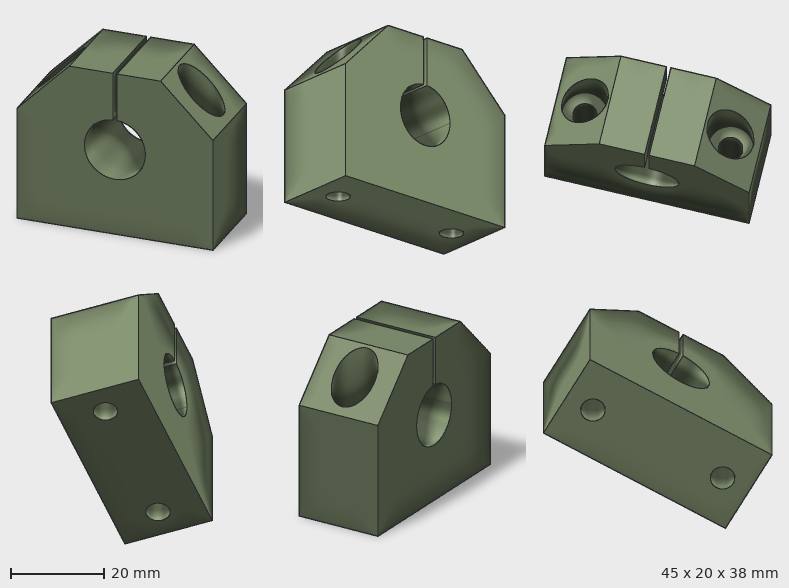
import cadquery as cq

width = 45.0
depth = 20.0
height = 38.0
corner_cut = 12.0

bore_diameter = 14.0
bore_height = 20.0
slit_width = 1.0

hole_offset = 16.0
hole_diameter = 5.2
counterbore_diameter = 10.0
counterbore_floor = bore_height


def make_block():
    """Rectangular block with both upper corners cut at 45 degrees."""
    block = cq.Workplane("XY").box(width, depth, height, centered=(True, True, False))
    return block.edges("|Y and >Z").chamfer(corner_cut)


def make_bore():
    """Shaft bore running through the block along Y."""
    center_plane = cq.Workplane("XZ", origin=(0, 0, bore_height))
    return center_plane.circle(bore_diameter / 2).extrude(depth / 2, both=True)


def make_slit():
    """Slit from the bore centre up through the top face."""
    base = cq.Workplane("XY", origin=(0, 0, bore_height))
    return base.rect(slit_width, depth).extrude(height - bore_height)


def make_mounting_hole(x):
    """Vertical through hole with a counterbore opening onto the sloped face."""
    hole = cq.Workplane("XY", origin=(x, 0, 0)).circle(hole_diameter / 2).extrude(height)
    counterbore = (
        cq.Workplane("XY", origin=(x, 0, counterbore_floor))
        .circle(counterbore_diameter / 2)
        .extrude(height - counterbore_floor)
    )
    return hole.union(counterbore)


result = make_block().cut(make_bore()).cut(make_slit())
for side in (-1, 1):
    result = result.cut(make_mounting_hole(side * hole_offset))